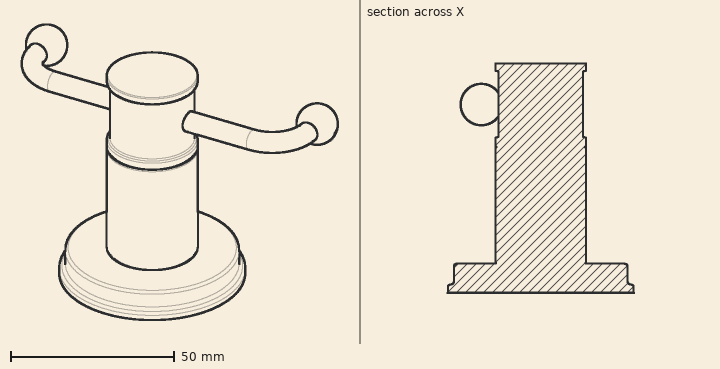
import cadquery as cq
import math

base_radius = 57.1 / 2
base_step_radius = 26.7
base_height = 9.0
base_edge_round = 0.9
base_cove_radius = base_radius - base_step_radius - base_edge_round
base_rim_height = 2.6

column_radius = 14.0
neck_radius = 13.0
edge_round = 0.49
column_top = 44.6
collar_top = 47.7
cap_bottom = 67.8
total_height = 70.3
cap_top_round = 0.3
neck_cove_radius = column_radius - neck_radius - edge_round

overall_width = 108.4
arm_radius = 3.3
arm_height = 57.6
ball_radius = 6.4
bend_radius = 12.7
ball_x = overall_width / 2 - ball_radius
straight_length = ball_x - bend_radius
ball_y = bend_radius + math.sqrt(ball_radius**2 - arm_radius**2)


def disc(radius, bottom, top):
    return cq.Workplane("XY").workplane(offset=bottom).circle(radius).extrude(top - bottom)


def cove_ring(inner_radius, size, level, direction):
    """Concave ring on a flat face; direction is +1 above the face, -1 below it."""
    middle = size * (1 - math.sqrt(0.5))
    return (
        cq.Workplane("XZ")
        .moveTo(0, level)
        .lineTo(inner_radius + size, level)
        .threePointArc(
            (inner_radius + middle, level + direction * middle),
            (inner_radius, level + direction * size),
        )
        .lineTo(0, level + direction * size)
        .close()
        .revolve(360, (0, 0, 0), (0, 1, 0))
    )


def make_base():
    rim = disc(base_radius, 0, base_rim_height).faces(">Z").edges().fillet(base_edge_round)
    step = disc(base_step_radius, 0, base_height).faces(">Z").edges().fillet(base_edge_round)
    cove = cove_ring(base_step_radius, base_cove_radius, base_rim_height, 1)
    return rim.union(step).union(cove)


def make_post():
    column = disc(column_radius, base_height, column_top).edges().fillet(edge_round)
    collar = disc(column_radius, column_top, collar_top).edges().fillet(edge_round)
    neck = disc(neck_radius, collar_top, cap_bottom)
    cap = disc(column_radius, cap_bottom, total_height)
    cap = cap.faces("<Z").edges().fillet(edge_round)
    cap = cap.faces(">Z").edges().fillet(cap_top_round)
    collar_cove = cove_ring(neck_radius, neck_cove_radius, collar_top, 1)
    cap_cove = cove_ring(neck_radius, neck_cove_radius, cap_bottom, -1)
    return column.union(collar).union(neck).union(cap).union(collar_cove).union(cap_cove)


def make_arm():
    path = (
        cq.Workplane("XY", origin=(0, 0, arm_height))
        .lineTo(straight_length, 0)
        .radiusArc((ball_x, bend_radius), -bend_radius)
    )
    rod = cq.Workplane("YZ", origin=(0, 0, arm_height)).circle(arm_radius).sweep(path)
    ball = cq.Workplane("XY").sphere(ball_radius).translate((ball_x, ball_y, arm_height))
    return rod.union(ball)


right_arm = make_arm()
left_arm = right_arm.mirror("YZ")
result = make_base().union(make_post()).union(right_arm).union(left_arm)